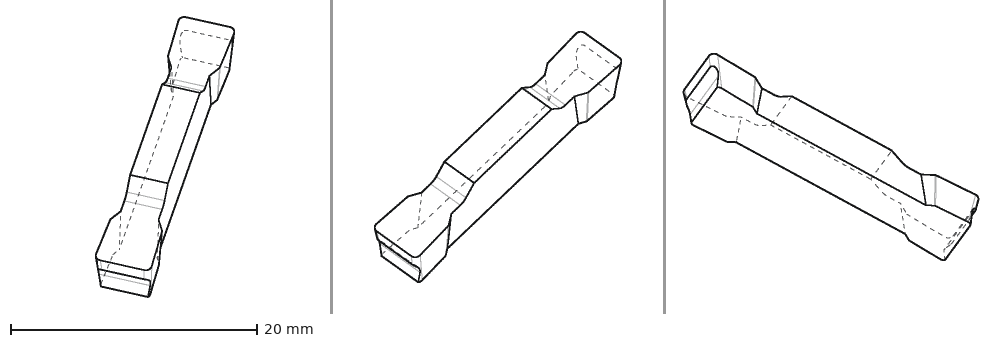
import math

import cadquery as cq

length = 25.8
height = 5.79
half_length = length / 2

body_width = 3.2
deck_height = 4.49
ridge_half_length = 4.8
ramp_angle = 45.0
ramp_foot_radius = 1.0

head_width = 4.7
head_flare_angle = 2.5
shoulder_distance = 4.25
shoulder_angle = 30.0
shoulder_radius = 0.2
side_draft = 3.0
front_draft = 7.0
corner_radius = 0.5

edge_depth = 1.49
relief_setback = 0.73
relief_foot_height = 1.63


def tangent(degrees):
    return math.tan(math.radians(degrees))


def make_body():
    """Long bar with the ridge, its ramps and the rounded ramp feet."""
    body_end = half_length - shoulder_distance
    ramp_foot = ridge_half_length + (height - deck_height) / tangent(ramp_angle)
    profile = [
        (-body_end, 0),
        (body_end, 0),
        (body_end, deck_height),
        (ramp_foot, deck_height),
        (ridge_half_length, height),
        (-ridge_half_length, height),
        (-ramp_foot, deck_height),
        (-body_end, deck_height),
    ]
    bar = cq.Workplane("YZ").polyline(profile).close().extrude(body_width / 2, both=True)
    margin = (height - deck_height) / 2
    ramp_feet = cq.selectors.BoxSelector(
        (-body_width, -ramp_foot - margin, deck_height - margin),
        (body_width, ramp_foot + margin, deck_height + margin),
    )
    return bar.edges("|X").edges(ramp_feet).fillet(ramp_foot_radius)


def head_outline(depth):
    """Sharp-cornered plan of the +Y head at a depth below the deck."""
    flare = tangent(head_flare_angle)
    side_inset = depth * tangent(side_draft)
    front = half_length - depth * tangent(front_draft)

    widest = half_length - corner_radius * (1 + math.sin(math.radians(head_flare_angle)))
    shoulder = half_length - shoulder_distance
    shoulder_half_width = head_width / 2 - flare * (widest - shoulder)

    bisector = (shoulder_angle + head_flare_angle) / 2
    slide_angle = head_flare_angle + bisector
    slide = side_inset / math.cos(math.radians(bisector))
    shoulder_x = shoulder_half_width - slide * math.cos(math.radians(slide_angle))
    shoulder_y = shoulder + slide * math.sin(math.radians(slide_angle))

    front_x = shoulder_x + flare * (front - shoulder_y)
    root_x = body_width / 4
    root_y = shoulder_y - (shoulder_x - root_x) / tangent(shoulder_angle)
    right_side = [(root_x, root_y), (shoulder_x, shoulder_y), (front_x, front)]
    left_side = [(-x, y) for x, y in reversed(right_side)]
    return right_side + left_side


def make_relief_cutter():
    """Space below the cutting edge: a concave arc running into an upright face."""
    edge_bottom = deck_height - edge_depth
    edge_y = half_length - edge_depth * tangent(front_draft)
    foot_y = half_length - relief_setback
    return (
        cq.Workplane("YZ")
        .moveTo(foot_y, 0)
        .lineTo(foot_y, relief_foot_height)
        .tangentArcPoint((edge_y, edge_bottom), relative=False)
        .lineTo(half_length, edge_bottom)
        .lineTo(half_length, 0)
        .close()
        .extrude(head_width, both=True)
    )


def shoulder_box():
    """Opposite corners of a box holding only the midpoints of the two shoulder edges."""
    shoulder = half_length - shoulder_distance
    margin = 2 * shoulder_radius
    low = (-head_width, shoulder - margin, deck_height / 4)
    high = (head_width, shoulder + margin, deck_height * 3 / 4)
    return low, high


def make_head():
    """Drafted +Y head with rounded front corners and edge relief."""
    block = (
        cq.Workplane("XY")
        .polyline(head_outline(deck_height))
        .close()
        .workplane(offset=deck_height)
        .polyline(head_outline(0))
        .close()
        .loft(ruled=True)
    )
    front_corners = block.faces(">Y").edges("not #Z")
    rounded = front_corners.fillet(corner_radius)
    shoulder_edges = rounded.edges(cq.selectors.BoxSelector(*shoulder_box()))
    return shoulder_edges.fillet(shoulder_radius).cut(make_relief_cutter())


head = make_head()
result = make_body().union(head).union(head.mirror("XZ"))